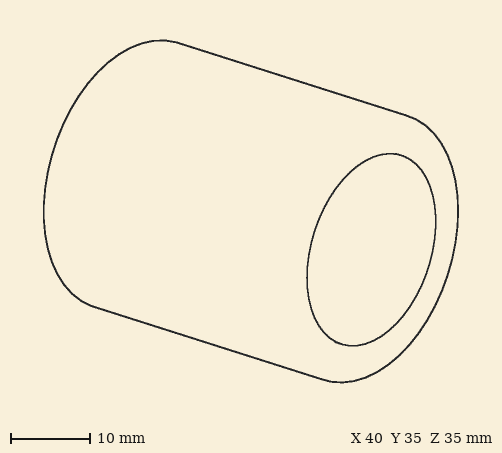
import cadquery as cq

length = 40.0
outer_diameter = 35.0
bore_diameter = 25.0
rim_fillet = 1.0

body = (
    cq.Workplane("YZ", origin=(-length / 2, 0, 0))
    .circle(outer_diameter / 2)
    .extrude(length)
    .faces("<X or >X")
    .edges()
    .fillet(rim_fillet)
)

result = body.faces(">X").workplane(centerOption="CenterOfMass").hole(bore_diameter)